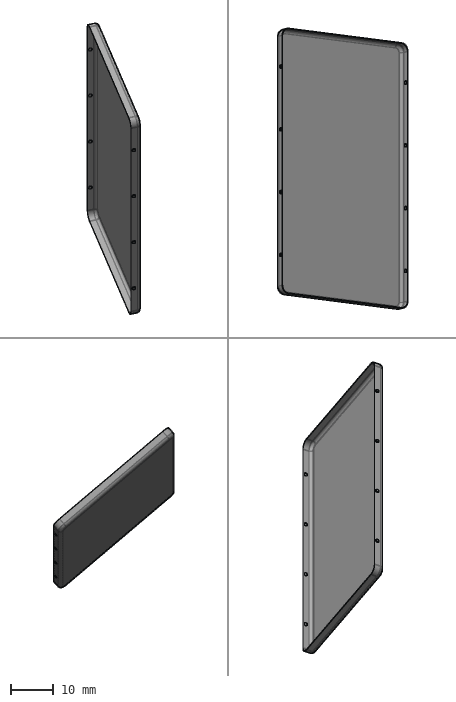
import cadquery as cq

WIDTH = 35.9
DEPTH = 2.5
HEIGHT = 63.5

WALL = 0.2
CORNER_RADIUS = 1.9
BACK_EDGE_RADIUS = 0.9

DIMPLE_COUNT = 4
DIMPLE_PITCH = 15.0
DIMPLE_FROM_RIM = 0.75
DIMPLE_RADIUS = 0.35
DIMPLE_PRESS = 0.2

RIM_Y = -DEPTH / 2
BACK_Y = DEPTH / 2


def rounded_block(inset):
    """Block with rounded corners and back edge, inset from the outer skin on the sides and back."""
    length = DEPTH - inset
    return (
        cq.Workplane("XZ", origin=(0, BACK_Y - inset, 0))
        .rect(WIDTH - 2 * inset, HEIGHT - 2 * inset)
        .extrude(length)
        .edges("|Y")
        .fillet(CORNER_RADIUS - inset)
        .faces(">Y")
        .edges()
        .fillet(BACK_EDGE_RADIUS - inset)
    )


def dimple_balls(side, extra_radius):
    """Balls whose caps reach inwards through one side wall (side is -1 or +1 along X)."""
    ball_radius = (DIMPLE_RADIUS**2 + DIMPLE_PRESS**2) / (2 * DIMPLE_PRESS)
    center_x = side * (WIDTH / 2 - DIMPLE_PRESS + ball_radius)
    centers = []
    for index in range(DIMPLE_COUNT):
        center_z = (index - (DIMPLE_COUNT - 1) / 2) * DIMPLE_PITCH
        centers.append((RIM_Y + DIMPLE_FROM_RIM, center_z))
    return cq.Workplane("YZ", origin=(center_x, 0, 0)).pushPoints(centers).sphere(ball_radius + extra_radius)


def add_dimples(tray, outer):
    """Press the dimples: a bump inside each long wall and a matching hollow outside."""
    for side in (-1, 1):
        bumps = dimple_balls(side, WALL).intersect(outer)
        tray = tray.union(bumps).cut(dimple_balls(side, 0))
    return tray


outer_block = rounded_block(0)
hollow_tray = outer_block.cut(rounded_block(WALL))
result = add_dimples(hollow_tray, outer_block)